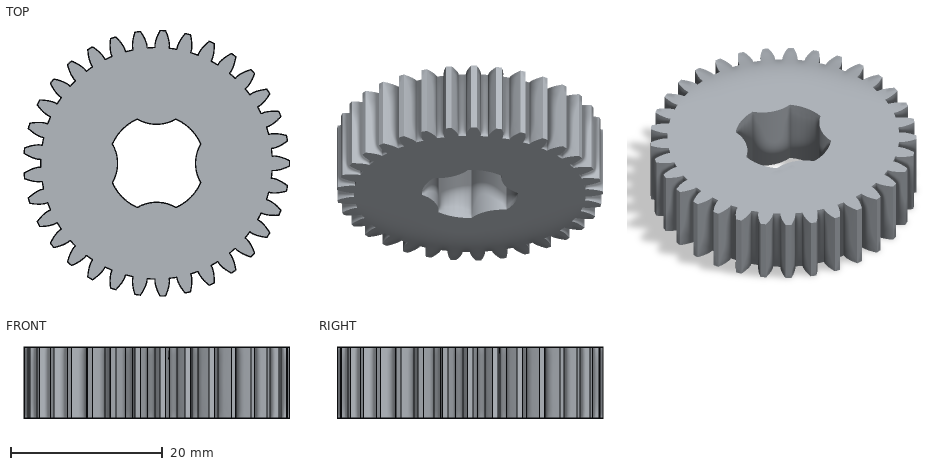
import cadquery as cq
import math


tip_diameter = 35.0
tooth_count = 33
pressure_angle = math.radians(20)
addendum_factor = 1.0
dedendum_factor = 1.25
gear_width = 9.38
bore_radius = 6.35
bump_reach = 5.1
bump_radius = 5.0
bump_count = 4
flank_points = 7

module = tip_diameter / (tooth_count + 2 * addendum_factor)
tip_radius = tip_diameter / 2
pitch_radius = module * tooth_count / 2
root_radius = pitch_radius - dedendum_factor * module
base_radius = pitch_radius * math.cos(pressure_angle)
tooth_pitch = 2 * math.pi / tooth_count


def polar(radius, angle):
    return (radius * math.cos(angle), radius * math.sin(angle))


def involute_angle(radius):
    """Polar angle swept by the involute between the base circle and the given radius."""
    roll = math.acos(base_radius / radius)
    return math.tan(roll) - roll


def half_tooth_angle(radius):
    """Half the angle the tooth spans at a radius on its involute flank."""
    return tooth_pitch / 4 + involute_angle(pitch_radius) - involute_angle(radius)


def flank_radii():
    """Radii from base circle to tip, even in roll length along the involute."""
    end_roll = math.sqrt((tip_radius / base_radius) ** 2 - 1)
    rolls = [end_roll * i / (flank_points - 1) for i in range(flank_points)]
    return [base_radius * math.sqrt(1 + roll ** 2) for roll in rolls]


def add_tooth(outline, centre):
    """Extend the outline over one tooth and across the root land that follows it."""
    radii = flank_radii()
    root_half = half_tooth_angle(base_radius)
    rising = [polar(r, centre - half_tooth_angle(r)) for r in radii]
    falling = [polar(r, centre + half_tooth_angle(r)) for r in reversed(radii)]
    outline = outline.lineTo(*rising[0])
    outline = outline.spline(rising[1:], includeCurrent=True)
    outline = outline.threePointArc(polar(tip_radius, centre), falling[0])
    outline = outline.spline(falling[1:], includeCurrent=True)
    outline = outline.lineTo(*polar(root_radius, centre + root_half))
    root_middle = polar(root_radius, centre + tooth_pitch / 2)
    next_tooth = polar(root_radius, centre + tooth_pitch - root_half)
    return outline.threePointArc(root_middle, next_tooth)


def make_gear_blank():
    """Toothed disc with one tooth centred on +X."""
    start = polar(root_radius, -half_tooth_angle(base_radius))
    outline = cq.Workplane("XY").moveTo(*start)
    for tooth in range(tooth_count):
        outline = add_tooth(outline, tooth * tooth_pitch)
    return outline.close().extrude(gear_width)


def make_bore():
    """Round bore with rounded bumps standing inward on the X and Y axes."""
    bore = cq.Workplane("XY").circle(bore_radius).extrude(gear_width)
    bumps = (
        cq.Workplane("XY")
        .polarArray(bump_reach + bump_radius, 0, 360, bump_count)
        .circle(bump_radius)
        .extrude(gear_width)
    )
    return bore.cut(bumps)


result = make_gear_blank().cut(make_bore())